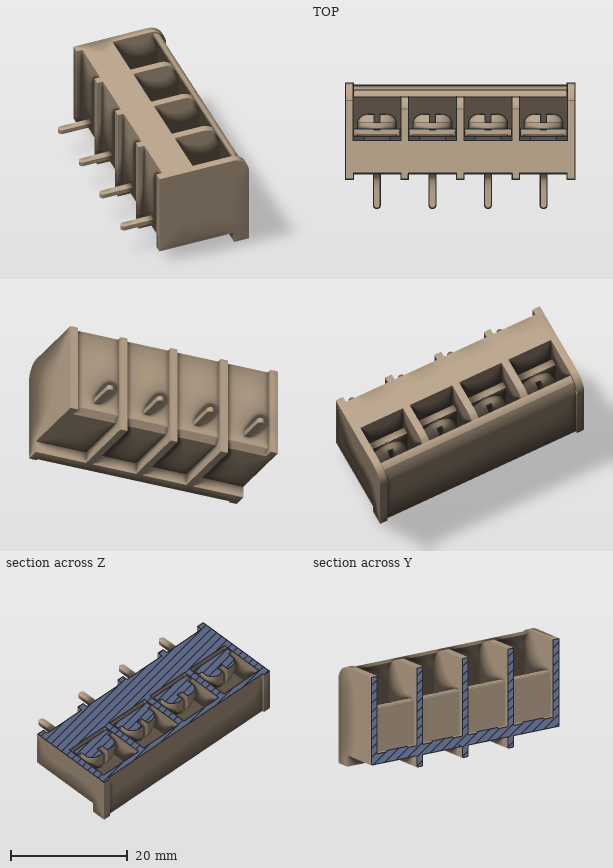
import cadquery as cq
import math

BAYS = 4
LENGTH = 39.3
HEIGHT = 17.8
DEPTH = 16.5
RIB = 1.3
BAY = (LENGTH - (BAYS + 1) * RIB) / BAYS
PITCH = BAY + RIB

END_WALL = 1.4
END_RELIEF = END_WALL - RIB
ROUND = 3.0
ROUND_Z = HEIGHT - ROUND
FOOT_Y = 13.8
FOOT_HEIGHT = 2.05

PANEL_TOP_Y = 1.05
PANEL_BOTTOM_Y = 0.9
PANEL_BOTTOM_Z = 3.05
UNDERSIDE_Y = PANEL_BOTTOM_Y + PANEL_BOTTOM_Z - FOOT_HEIGHT

WALL_BACK_Y = 16.1
WALL_BACK_Z = 13.85
RIB_ROUND_Y = 12.03
WALL_INNER_Y = RIB_ROUND_Y + ROUND
LIP_Y = 14.1
LIP_Z = 17.53
LIP_EDGE_Y = 15.3
LIP_EDGE_Z = 16.98
UPPER_CURVE_SAG = 0.08
REAR_CURVE_SAG = 0.2

POCKET_Y = 6.65
POCKET_FLOOR = 3.93
FLOOR_FILLET = 0.25

PLATE_WIDTH = BAY - 2 * END_RELIEF
PLATE_FRONT = 7.3
COVE_WIDTH = 4.4
COVE_RADIUS = PLATE_FRONT - POCKET_Y
WASHER_FRONT = 7.43
NOTCH = 0.1
FRONT_NOTCH_WIDTH = 6.7
WASHER_BACK = 8.55
SCREW_Z = POCKET_FLOOR + PLATE_WIDTH / 2
HEAD_RADIUS = 3.35
HEAD_RIM_Y = 9.7
HEAD_TOP_Y = 11.12
HEAD_FLAT_RADIUS = 1.38
DOME_SAG = 0.5
SLOT_WIDTH = 1.05

PIN_WIDTH = 1.2
PIN_THICKNESS = 0.83
PIN_Z = 4.85
PIN_LENGTH = 5.0


def bay_x(index):
    """Centre of a bay along X."""
    return RIB + BAY / 2 + index * PITCH


def block(x, width, y0, y1, z0, z1):
    """Box centred on x, between two Y and two Z positions."""
    return cq.Workplane("XY").box(width, y1 - y0, z1 - z0, centered=(True, False, False)).translate((x, y0, z0))


def bulge(start, end, sag):
    """Middle point of an arc that bows to the left of the line from start to end."""
    dy = end[0] - start[0]
    dz = end[1] - start[1]
    chord = math.hypot(dy, dz)
    return ((start[0] + end[0]) / 2 - sag * dz / chord, (start[1] + end[1]) / 2 + sag * dy / chord)


def on_round(centre_y, angle):
    """Point of the top back rounding at an angle above the +Y direction."""
    a = math.radians(angle)
    return (centre_y + ROUND * math.cos(a), ROUND_Z + ROUND * math.sin(a))


def side_profile(x):
    """Workplane whose local axes are Y and Z, extruding toward +X."""
    return cq.Workplane("YZ", origin=(x, 0, 0))


def make_end_wall(x):
    return (
        side_profile(x)
        .moveTo(0, FOOT_HEIGHT)
        .lineTo(0, HEIGHT)
        .lineTo(DEPTH - ROUND, HEIGHT)
        .threePointArc(on_round(DEPTH - ROUND, 45), (DEPTH, ROUND_Z))
        .lineTo(DEPTH, 0)
        .lineTo(FOOT_Y, 0)
        .lineTo(FOOT_Y, FOOT_HEIGHT)
        .close()
        .extrude(END_WALL)
    )


def make_core():
    """Body between the end walls, with the lip along its back."""
    lip_angle = math.degrees(math.acos((LIP_Y - RIB_ROUND_Y) / ROUND))
    lip = (LIP_Y, LIP_Z)
    edge = (LIP_EDGE_Y, LIP_EDGE_Z)
    back = (WALL_BACK_Y, WALL_BACK_Z)
    return (
        side_profile(END_WALL)
        .moveTo(PANEL_BOTTOM_Y, PANEL_BOTTOM_Z)
        .lineTo(PANEL_TOP_Y, HEIGHT)
        .lineTo(RIB_ROUND_Y, HEIGHT)
        .threePointArc(on_round(RIB_ROUND_Y, (90 + lip_angle) / 2), on_round(RIB_ROUND_Y, lip_angle))
        .lineTo(*lip)
        .threePointArc(bulge(lip, edge, UPPER_CURVE_SAG), edge)
        .threePointArc(bulge(edge, back, REAR_CURVE_SAG), back)
        .lineTo(WALL_BACK_Y, 0)
        .lineTo(FOOT_Y, 0)
        .lineTo(FOOT_Y, FOOT_HEIGHT)
        .lineTo(UNDERSIDE_Y, FOOT_HEIGHT)
        .close()
        .extrude(LENGTH - 2 * END_WALL)
    )


def make_pocket(x):
    """Pocket whose back curves in under the lip; filleted where floor meets front."""
    return (
        side_profile(x - BAY / 2)
        .moveTo(POCKET_Y, POCKET_FLOOR + FLOOR_FILLET)
        .lineTo(POCKET_Y, HEIGHT)
        .lineTo(RIB_ROUND_Y, HEIGHT)
        .threePointArc(on_round(RIB_ROUND_Y, 45), (WALL_INNER_Y, ROUND_Z))
        .lineTo(WALL_INNER_Y, POCKET_FLOOR)
        .lineTo(POCKET_Y + FLOOR_FILLET, POCKET_FLOOR)
        .radiusArc((POCKET_Y, POCKET_FLOOR + FLOOR_FILLET), FLOOR_FILLET)
        .close()
        .extrude(BAY)
    )


def make_screw(x):
    """Domed screw head pointing toward +Y, with a vertical driver slot."""
    flat = (HEAD_FLAT_RADIUS, HEAD_TOP_Y)
    rim = (HEAD_RADIUS, HEAD_RIM_Y)
    head = (
        cq.Workplane("XY")
        .moveTo(0, WASHER_BACK)
        .lineTo(0, HEAD_TOP_Y)
        .lineTo(*flat)
        .threePointArc(bulge(flat, rim, DOME_SAG), rim)
        .lineTo(HEAD_RADIUS, WASHER_BACK)
        .close()
        .revolve(360, (0, 0, 0), (0, 1, 0))
    )
    slot = block(0, SLOT_WIDTH, HEAD_RIM_Y, DEPTH, -HEAD_RADIUS, HEAD_RADIUS)
    return head.cut(slot).translate((x, 0, SCREW_Z))


def make_cove(x):
    """Concave fillet between pocket front and floor, in the middle of the bay."""
    return (
        side_profile(x - COVE_WIDTH / 2)
        .moveTo(POCKET_Y, POCKET_FLOOR)
        .lineTo(PLATE_FRONT, POCKET_FLOOR)
        .radiusArc((POCKET_Y, POCKET_FLOOR + COVE_RADIUS), COVE_RADIUS)
        .close()
        .extrude(COVE_WIDTH)
    )


def make_terminal(x):
    """Terminal plate carrying a square washer, notched along its top edges, and the screw."""
    top = POCKET_FLOOR + PLATE_WIDTH
    notch_z = top - NOTCH
    plate = block(x, PLATE_WIDTH, PLATE_FRONT, WASHER_FRONT, POCKET_FLOOR, notch_z)
    washer = block(x, PLATE_WIDTH, WASHER_FRONT, WASHER_BACK, POCKET_FLOOR, top)
    front_notch = block(x, FRONT_NOTCH_WIDTH, WASHER_FRONT, WASHER_FRONT + NOTCH, notch_z, top)
    back_notch = block(x, SLOT_WIDTH, WASHER_BACK - NOTCH, WASHER_BACK, notch_z, top)
    washer = washer.cut(front_notch).cut(back_notch)
    return plate.union(washer).union(make_screw(x)).union(make_cove(x))


def make_pin(x):
    """Flat pin with a fully rounded tip, rooted in the front panel."""
    tip_y = PIN_WIDTH / 2 - PIN_LENGTH
    return (
        cq.Workplane("XY", origin=(x, 0, PIN_Z - PIN_THICKNESS / 2))
        .moveTo(-PIN_WIDTH / 2, POCKET_Y)
        .lineTo(-PIN_WIDTH / 2, tip_y)
        .threePointArc((0, -PIN_LENGTH), (PIN_WIDTH / 2, tip_y))
        .lineTo(PIN_WIDTH / 2, POCKET_Y)
        .close()
        .extrude(PIN_THICKNESS)
    )


housing = make_core().union(make_end_wall(0)).union(make_end_wall(LENGTH - END_WALL))
for i in range(BAYS - 1):
    rib_x = bay_x(i) + PITCH / 2
    housing = housing.union(block(rib_x, RIB, 0, FOOT_Y, 0, ROUND_Z))
    housing = housing.union(block(rib_x, RIB, 0, POCKET_Y, ROUND_Z, HEIGHT))

for relief_x in (RIB + END_RELIEF / 2, LENGTH - RIB - END_RELIEF / 2):
    housing = housing.cut(block(relief_x, END_RELIEF, POCKET_Y, DEPTH, ROUND_Z, HEIGHT))

for i in range(BAYS):
    housing = housing.cut(make_pocket(bay_x(i)))

result = housing
for i in range(BAYS):
    result = result.union(make_terminal(bay_x(i))).union(make_pin(bay_x(i)))